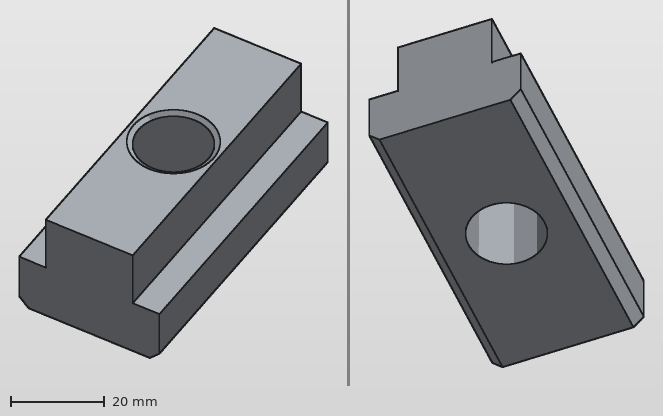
import cadquery as cq

length = 70.0
base_width = 35.0
base_height = 14.0
neck_width = 21.7
total_height = 28.0
bottom_chamfer = 2.4

hole_diameter = 17.5
countersink_diameter = 20.0
countersink_angle = 120.0


def centred_bar(width, bottom, height):
    """Bar running the full length, centred on X and Y."""
    return (
        cq.Workplane("XY")
        .workplane(offset=bottom)
        .rect(width, length)
        .extrude(height)
    )


def make_body():
    """Wide base with chamfered lower long edges, carrying the narrower neck."""
    base = centred_bar(base_width, 0, base_height)
    base = base.faces("<Z").edges("|Y").chamfer(bottom_chamfer)
    neck = centred_bar(neck_width, base_height, total_height - base_height)
    return base.union(neck)


def cut_hole(body):
    """Through hole from the top of the neck, with a shallow conical mouth."""
    top = body.faces(">Z").workplane()
    return top.cskHole(hole_diameter, countersink_diameter, countersink_angle)


result = cut_hole(make_body())